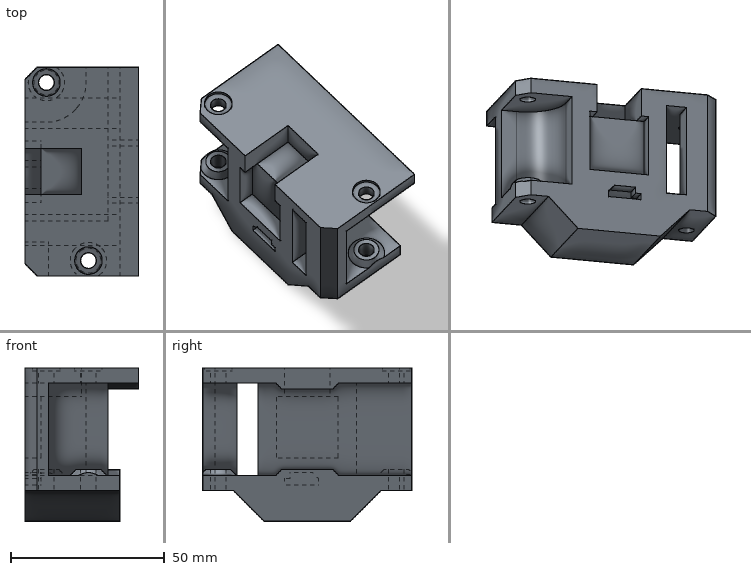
import cadquery as cq

width = 68.0
top_depth = 37.0
base_depth = 30.95
height = 50.0
keel_height = 10.0
plate = 5.0
corner_chamfer = 4.0

base_top = keel_height + plate
roof_bottom = height - plate

keel_half_bottom = 14.0
keel_half_top = keel_half_bottom + keel_height

screw_y = 29.0
left_screw_x = 7.0
right_screw_x = 20.7
bay_radius = 12.9
core_depth = 27.05
core_half_width = screw_y - bay_radius
front_wall = right_screw_x - bay_radius
screw_hole_d = 5.0
recess_d = 9.0
recess_depth = 1.0

boss_height = 1.85
boss_top_d = 8.15
boss_base_d = boss_top_d + 2 * boss_height

window_size = 20.0
window_bottom = 20.6
window_depth = 5.25
notch_width = 14.95
notch_depth = 18.4
slot_width = 6.8
port_depth = 5.25
port_left = 3.6
port_right = -7.4
port_bottom = 11.9
port_height = 4.1
port_step_height = 2.05
port_step_width = 1.85

rail_half_width = 10.2


def block(x0, x1, y0, y1, z0, z1):
    """Axis-aligned block between opposite corners."""
    return cq.Workplane("XY").box(x1 - x0, y1 - y0, z1 - z0, centered=False).translate((x0, y0, z0))


def cylinder(x, y, diameter, z0, z1):
    return cq.Workplane("XY", origin=(x, y, z0)).circle(diameter / 2).extrude(z1 - z0)


def envelope():
    """Outer body: keel, base, tall middle and deeper roof plate."""
    half = width / 2
    keel = (
        cq.Workplane("YZ")
        .polyline([
            (-keel_half_bottom, 0),
            (keel_half_bottom, 0),
            (keel_half_top, keel_height),
            (-keel_half_top, keel_height),
        ])
        .close()
        .extrude(base_depth)
    )
    base = block(0, base_depth, -half, half, keel_height, base_top)
    middle = block(0, core_depth, -half, half, base_top, roof_bottom)
    roof = block(0, top_depth, -half, half, roof_bottom, height)
    plates = base.union(middle).union(roof)
    return plates.edges("|Z and <X").chamfer(corner_chamfer).union(keel)


def screw_bays():
    """Clearance volumes beside the core, open to the two sides."""
    half = width / 2
    right = block(front_wall, top_depth, -half, -core_half_width, base_top, roof_bottom)
    left_round = cylinder(left_screw_x, screw_y, 2 * bay_radius, base_top, roof_bottom)
    left_front = block(0, left_screw_x, core_half_width, half, base_top, roof_bottom)
    left_side = block(0, left_screw_x + bay_radius, screw_y, half, base_top, roof_bottom)
    return right.union(left_round).union(left_front).union(left_side)


def boss(x, y):
    """Conical screw boss, with 45 degree flanks."""
    return (
        cq.Workplane("XY", origin=(x, y, base_top))
        .circle(boss_base_d / 2)
        .workplane(offset=boss_height)
        .circle(boss_top_d / 2)
        .loft()
    )


def rail(depth, plate_face, direction):
    """Rail with 45 degree flanks between the core back and a plate edge."""
    crest = plate_face + direction * boss_height
    crest_half = rail_half_width - boss_height
    return (
        cq.Workplane("YZ", origin=(core_depth, 0, 0))
        .polyline([
            (-rail_half_width, plate_face),
            (rail_half_width, plate_face),
            (crest_half, crest),
            (-crest_half, crest),
        ])
        .close()
        .extrude(depth - core_depth)
    )


def port():
    """Connector opening with one bevelled and one stepped upper corner."""
    top = port_bottom + port_height
    step = port_bottom + port_step_height
    bevel = port_height - port_step_height
    return (
        cq.Workplane("YZ")
        .polyline([
            (port_left, port_bottom),
            (port_left, step),
            (port_left - bevel, top),
            (port_right + port_step_width, top),
            (port_right + port_step_width, step),
            (port_right, step),
            (port_right, port_bottom),
        ])
        .close()
        .extrude(port_depth)
    )


outline = envelope()
result = outline.cut(screw_bays())

screws = [(left_screw_x, screw_y), (right_screw_x, -screw_y)]
for x, y in screws:
    result = result.union(boss(x, y).intersect(outline))
for x, y in screws:
    result = result.cut(cylinder(x, y, screw_hole_d, 0, height))
    result = result.cut(cylinder(x, y, recess_d, height - recess_depth, height))

result = result.union(rail(base_depth, base_top, 1))
result = result.union(rail(top_depth, roof_bottom, -1))

window_top = window_bottom + window_size
window = block(0, window_depth, -window_size / 2, window_size / 2, window_bottom, window_top)
notch = block(0, notch_depth, -notch_width / 2, notch_width / 2, window_top, height)
slot = block(0, front_wall, -core_half_width - slot_width, -core_half_width, base_top, roof_bottom)
result = result.cut(window).cut(notch).cut(slot).cut(port())